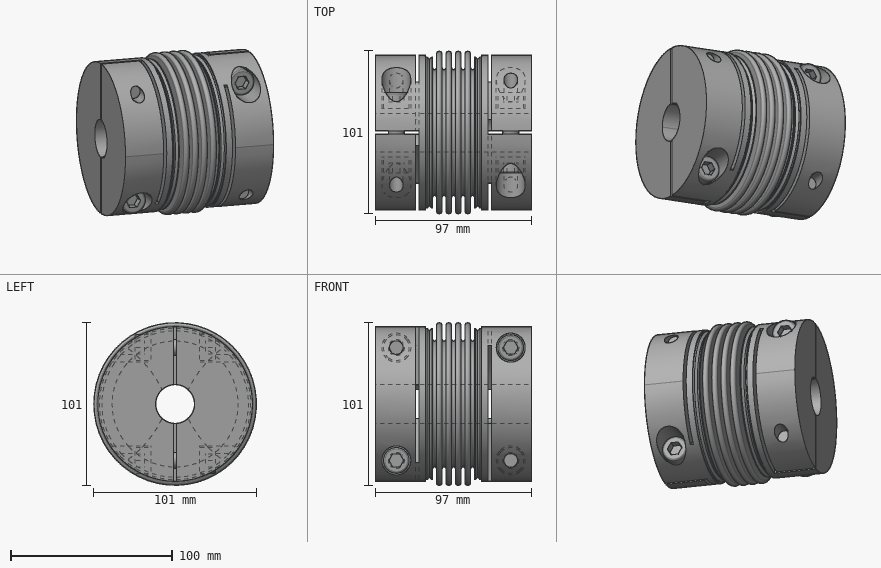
import cadquery as cq
import math

total_length = 97.0
hub_radius = 48.0
bore_radius = 12.0
hub_length = 31.0
end_x = total_length / 2
hub_inner_x = end_x - hub_length

ring_radius = 47.0
groove_depth = 1.5
groove_half_width = 1.5
groove_x = 15.0

bellows_radius = 50.5
bellows_root_radius = 39.1
convolution_count = 4
pitch = 5.9
sheet_thickness = 0.7
crest_arc_radius = (pitch / 2 + sheet_thickness) / 2
root_arc_radius = pitch / 2 - crest_arc_radius
first_root_x = -convolution_count * pitch / 2
ring_inner_x = -first_root_x + root_arc_radius

slit_width = 2.0
jaw_length = 25.0
cross_slit_x = end_x - jaw_length
cross_slit_rim_z = 36.2
cross_slit_bore_z = 8.9
cross_slit_sagitta = 2.4

screw_x = 35.5
screw_z = 35.0
shank_diameter = 10.0
head_diameter = 16.0
head_height = 10.0
head_rounding = 0.9
head_seat_y = 15.0
screw_length = 40.0
socket_across_flats = 8.0
socket_depth = 6.0
socket_turn = 30.0
counterbore_diameter = 18.0
thread_hole_diameter = 8.5

reach = 2 * hub_radius


def make_body():
    """Both hubs, weld rings and the bellows as one turned body."""
    root_center_r = bellows_root_radius + root_arc_radius
    crest_center_r = bellows_radius - crest_arc_radius
    right_end = [
        (ring_inner_x, ring_radius),
        (groove_x - groove_half_width, ring_radius),
        (groove_x, ring_radius - groove_depth),
        (groove_x + groove_half_width, ring_radius),
        (hub_inner_x, ring_radius),
        (hub_inner_x, hub_radius),
        (end_x, hub_radius),
        (end_x, bore_radius),
    ]
    left_end = [(-x, radius) for x, radius in reversed(right_end)]
    outline = cq.Workplane("XY").polyline(left_end).lineTo(-ring_inner_x, root_center_r)
    for index in range(convolution_count + 1):
        root_x = first_root_x + index * pitch
        outline = outline.threePointArc(
            (root_x, bellows_root_radius), (root_x + root_arc_radius, root_center_r)
        )
        if index < convolution_count:
            crest_x = root_x + pitch / 2
            outline = (
                outline.lineTo(crest_x - crest_arc_radius, crest_center_r)
                .threePointArc((crest_x, bellows_radius), (crest_x + crest_arc_radius, crest_center_r))
                .lineTo(crest_x + crest_arc_radius, root_center_r)
            )
    for point in right_end:
        outline = outline.lineTo(*point)
    return outline.close().revolve(360, (0, 0, 0), (1, 0, 0))


def make_cross_slit():
    """Slit across the left hub that frees its upper -Y side and ends below at an arc."""
    rim_y = -math.sqrt(hub_radius**2 - cross_slit_rim_z**2)
    bore_y = -math.sqrt(bore_radius**2 - cross_slit_bore_z**2)
    chord_y = rim_y - bore_y
    chord_z = cross_slit_bore_z - cross_slit_rim_z
    chord = math.hypot(chord_y, chord_z)
    arc_middle = (
        (rim_y + bore_y) / 2 - cross_slit_sagitta * chord_z / chord,
        -(cross_slit_rim_z + cross_slit_bore_z) / 2 + cross_slit_sagitta * chord_y / chord,
    )
    return (
        cq.Workplane("YZ", origin=(-cross_slit_x, 0, 0))
        .moveTo(slit_width / 2, reach)
        .lineTo(-reach, reach)
        .lineTo(-reach, -cross_slit_rim_z)
        .lineTo(rim_y, -cross_slit_rim_z)
        .threePointArc(arc_middle, (bore_y, -cross_slit_bore_z))
        .lineTo(slit_width / 2, -cross_slit_bore_z)
        .close()
        .extrude(slit_width)
    )


def make_axial_slit():
    """Slit along the left hub that splits it into two jaws."""
    length = jaw_length + slit_width
    return cq.Workplane("XY").box(length, slit_width, reach).translate((-end_x + length / 2, 0, 0))


def cylinder_along_y(diameter, start_y, end_y):
    """Cylinder on the upper screw axis of the left hub."""
    return (
        cq.Workplane("XZ", origin=(-screw_x, start_y, screw_z))
        .circle(diameter / 2)
        .extrude(start_y - end_y)
    )


def make_screw_hole():
    """Counterbore for the head and the through hole for the thread."""
    counterbore = cylinder_along_y(counterbore_diameter, hub_radius, head_seat_y)
    return counterbore.union(cylinder_along_y(thread_hole_diameter, head_seat_y, -hub_radius))


def make_screw():
    """Socket head screw entering from the +Y side."""
    head_top_y = head_seat_y + head_height
    head = cylinder_along_y(head_diameter, head_top_y, head_seat_y).faces(">Y").fillet(head_rounding)
    socket = (
        cq.Workplane("XZ", origin=(-screw_x, head_top_y, screw_z))
        .transformed(rotate=(0, 0, socket_turn))
        .polygon(6, socket_across_flats, circumscribed=True)
        .extrude(socket_depth)
    )
    shank = cylinder_along_y(shank_diameter, head_seat_y, head_seat_y - screw_length)
    return head.cut(socket).union(shank)


def turned_half(shape):
    """The same shape turned half a turn about the coupling axis."""
    return shape.rotate((0, 0, 0), (1, 0, 0), 180)


def on_right_hub(shape):
    """The left hub shape turned end for end onto the right hub."""
    return shape.rotate((0, 0, 0), (0, 1, 0), 180)


def at_all_places(shape):
    """The shape twice on each hub."""
    pair = [shape, turned_half(shape)]
    return pair + [on_right_hub(item) for item in pair]


def make_coupling():
    """Turned body with the slits and screw holes cut and the screws fitted."""
    coupling = make_body()
    slit = make_axial_slit()
    for cutter in (slit, on_right_hub(slit)):
        coupling = coupling.cut(cutter)
    for feature in (make_cross_slit(), make_screw_hole()):
        for cutter in at_all_places(feature):
            coupling = coupling.cut(cutter)
    for screw in at_all_places(make_screw()):
        coupling = coupling.union(screw)
    return coupling


result = make_coupling()